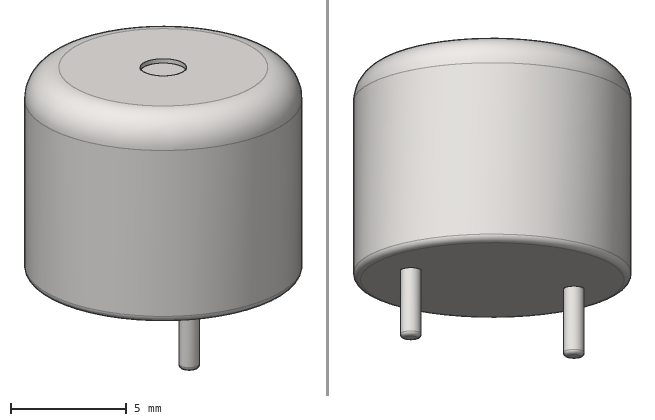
import cadquery as cq

body_diameter = 12.0
body_height = 9.5
top_edge_radius = 1.48
bottom_edge_radius = 0.3

port_diameter = 2.0
port_depth = 0.2

pin_diameter = 0.9
pin_length = 3.03
pin_spacing = 7.6
pin_tip_radius = 0.18


def make_body():
    body = cq.Workplane("XY").circle(body_diameter / 2).extrude(body_height)
    body = body.faces(">Z").edges().fillet(top_edge_radius)
    return body.faces("<Z").edges().fillet(bottom_edge_radius)


def make_port():
    port_floor = cq.Workplane("XY").workplane(offset=body_height - port_depth)
    return port_floor.circle(port_diameter / 2).extrude(port_depth)


def make_pin(x):
    pin = cq.Workplane("XY").center(x, 0).circle(pin_diameter / 2).extrude(-pin_length)
    return pin.faces("<Z").edges().fillet(pin_tip_radius)


result = make_body().cut(make_port())
for side in (-1, 1):
    result = result.union(make_pin(side * pin_spacing / 2))